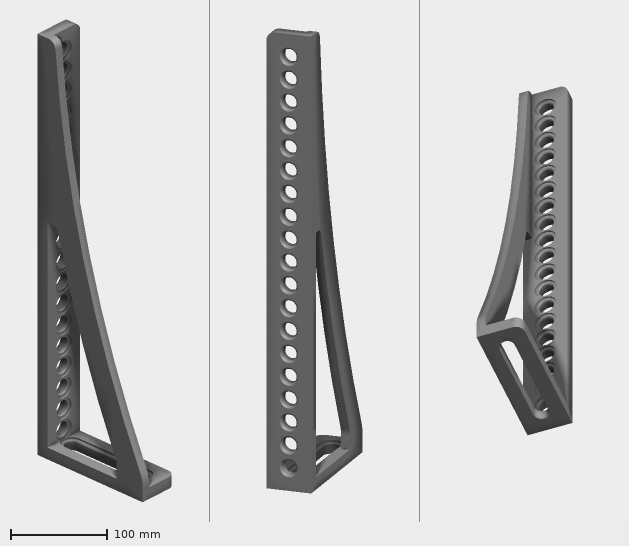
import cadquery as cq
import math

base_length = 150.0
width = 50.0
height = 500.0

plate_thickness = 14.0
web_thickness = 10.0
plate_corner_radius = 10.0

curve_centre_x = 1336.7
curve_centre_z = 593.0
curve_radius = 1315.0
web_top_radius = 10.0
web_toe_radius = 40.0

rim_width = 30.3
window_right = 113.0
window_top = 281.0
window_top_radius = 9.0
window_toe_radius = 20.0

bore_width = 16.0
recess_width = 24.0
recess_depth = 2.0
recess_chamfer = 1.0

hole_pitch = 25.0
hole_count = 19
hole_outer_chamfer = 2.0

slot_start = 25.0
slot_end = 125.0
slot_outer_chamfer = 1.0


def curve_x(z, radius):
    """X of the sloping arc of the given radius at height z."""
    return curve_centre_x - math.sqrt(radius**2 - (z - curve_centre_z) ** 2)


def curve_z(x, radius):
    """Height of the sloping arc of the given radius at position x."""
    return curve_centre_z - math.sqrt(radius**2 - (x - curve_centre_x) ** 2)


def sloped_panel(left, bottom, right, top, radius):
    """Panel as thick as the web whose upper right side follows the sloping arc."""
    middle_z = (curve_z(right, radius) + top) / 2
    return (
        cq.Workplane("XZ")
        .moveTo(left, bottom)
        .lineTo(right, bottom)
        .lineTo(right, curve_z(right, radius))
        .threePointArc((curve_x(middle_z, radius), middle_z), (curve_x(top, radius), top))
        .lineTo(left, top)
        .close()
        .extrude(-web_thickness)
    )


def round_corner(panel, x, z, radius):
    """Fillet the panel edge that runs along Y through (x, z)."""
    corner = cq.selectors.NearestToPointSelector((x, web_thickness / 2, z))
    return panel.edges(corner).fillet(radius)


def make_base_plate():
    plate = cq.Workplane("XY").box(base_length, width, plate_thickness, centered=False)
    return plate.edges("|Z and >X and >Y").fillet(plate_corner_radius)


def make_upright_plate():
    plate = cq.Workplane("XY").box(plate_thickness, width, height, centered=False)
    return plate.edges("|X and >Z and >Y").fillet(plate_corner_radius)


def make_web():
    web = sloped_panel(0, 0, base_length, height, curve_radius)
    web = round_corner(web, curve_x(height, curve_radius), height, web_top_radius)
    return round_corner(web, base_length, curve_z(base_length, curve_radius), web_toe_radius)


def make_window():
    radius = curve_radius + rim_width
    window = sloped_panel(plate_thickness, plate_thickness, window_right, window_top, radius)
    window = round_corner(window, curve_x(window_top, radius), window_top, window_top_radius)
    return round_corner(window, window_right, curve_z(window_right, radius), window_toe_radius)


def bore_profile(outer_chamfer):
    """Half section of the bore: (distance from the outer face, half width) pairs."""
    half_bore = bore_width / 2
    half_recess = recess_width / 2
    recess_floor = plate_thickness - recess_depth
    return [
        (0, half_bore + outer_chamfer),
        (outer_chamfer, half_bore),
        (recess_floor - recess_chamfer, half_bore),
        (recess_floor, half_bore + recess_chamfer),
        (recess_floor, half_recess),
        (plate_thickness, half_recess),
    ]


def make_hole(z):
    """Round bore through the upright plate; the outer face is at X = 0."""
    section = [(0, 0)] + bore_profile(hole_outer_chamfer) + [(plate_thickness, 0)]
    profile = cq.Workplane("XY", origin=(0, width / 2, z)).polyline(section).close()
    return profile.revolve(360, (0, 0, 0), (1, 0, 0))


def slot_side(side):
    """One side of the slot section as (offset from the slot axis, height) pairs."""
    profile = bore_profile(slot_outer_chamfer)
    return [(side * half_width, z) for z, half_width in profile]


def make_slot_end(x):
    """Round bore through the base plate; the outer face is at Z = 0."""
    section = [(0, 0)] + slot_side(1) + [(0, plate_thickness)]
    profile = cq.Workplane("XZ", origin=(x, width / 2, 0)).polyline(section).close()
    return profile.revolve(360, (0, 0, 0), (0, 1, 0))


def make_slot():
    """Bore section swept along X, closed by a round bore at each end."""
    straight = (
        cq.Workplane("YZ", origin=(slot_start, width / 2, 0))
        .polyline(slot_side(-1) + slot_side(1)[::-1])
        .close()
        .extrude(slot_end - slot_start)
    )
    return straight.union(make_slot_end(slot_start)).union(make_slot_end(slot_end))


result = make_base_plate().union(make_upright_plate()).union(make_web())
result = result.cut(make_window()).cut(make_slot())
for index in range(hole_count):
    result = result.cut(make_hole(hole_pitch * (index + 1)))